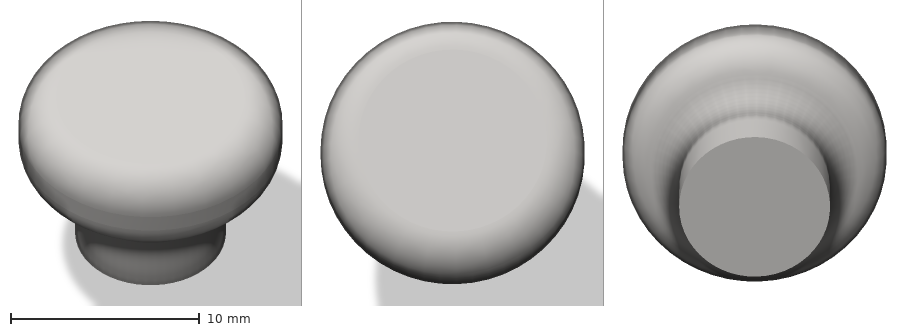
import cadquery as cq
import math

head_diameter = 14.0
stem_diameter = 8.0
total_height = 10.0
rim_height = 1.0
edge_radius = 2.0
neck_radius = 2.0

head_radius = head_diameter / 2
stem_radius = stem_diameter / 2

rim_top = total_height - edge_radius
rim_bottom = rim_top - rim_height

edge_center_r = head_radius - edge_radius
neck_center_r = stem_radius + neck_radius
center_distance = edge_radius + neck_radius
center_offset = neck_center_r - edge_center_r
center_drop = math.sqrt(center_distance**2 - center_offset**2)
stem_top = rim_bottom - center_drop

edge_share = edge_radius / center_distance
blend_r = edge_center_r + center_offset * edge_share
blend_z = rim_bottom - center_drop * edge_share


def build_knob():
    """Revolve the half profile (radius, height) about the Z axis."""
    profile = (
        cq.Workplane("XZ")
        .lineTo(stem_radius, 0)
        .lineTo(stem_radius, stem_top)
        .radiusArc((blend_r, blend_z), neck_radius)
        .radiusArc((head_radius, rim_bottom), -edge_radius)
        .lineTo(head_radius, rim_top)
        .radiusArc((edge_center_r, total_height), -edge_radius)
        .lineTo(0, total_height)
        .close()
    )
    return profile.revolve(360, (0, 0, 0), (0, 1, 0))


result = build_knob()